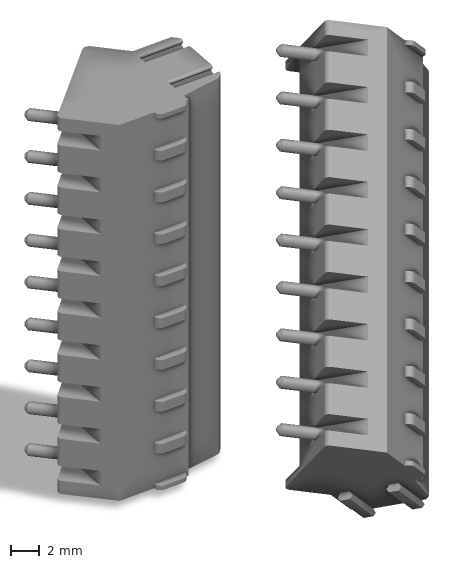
import cadquery as cq
import math


overall_height = 32.0
body_height = 31.42
pin_count = 9
pin_span = 28.0
pitch = pin_span / (pin_count - 1)
end_margin = (body_height - pin_span) / 2

neck_left_x = 2.25
neck_right_x = 8.22
neck_base_x = 8.7
right_wall_x = 9.3
shoulder_y = -3.65
back_chamfer = 0.48
right_wall_end_y = -9.35
nose_radius = 0.5
keel_radius = 0.35

end_plate = 0.5

rib_back_y = -3.95
rib_front_y = -6.5
rib_width = 0.8
rib_reach = 0.5
rib_radius = rib_reach

slot_y = -10.3
slot_width = 1.2
pin_diameter = 0.9
pin_chamfer = 0.3
pin_front_y = -12.83
pin_axis_offset = 15.23
pin_length = 6.4

rail_centers_x = (3.35, 7.1)
rail_length = 3.7
rail_height = overall_height - body_height
rail_root_half = 0.7 / 2
rail_wide_half = 1.12 / 2
rail_tip_half = 0.77 / 2
rail_wide_depth = 0.35
groove_length = 3.68
lip_radius = 0.2
groove_wide_depth = 0.45
groove_depth = 0.6


def make_housing():
    """Extruded cross-section with a rounded nose and keel."""
    nose_x = -nose_radius * (math.sqrt(2) - 1)
    nose_y = shoulder_y - (neck_left_x - nose_x)
    nose_sum = nose_x + nose_y
    keel_difference = right_wall_end_y - right_wall_x
    keel_x = (nose_sum - keel_difference) / 2
    keel_y = (nose_sum + keel_difference) / 2
    outline = [
        (neck_left_x + back_chamfer, 0),
        (neck_left_x, -back_chamfer),
        (neck_left_x, shoulder_y),
        (nose_x, nose_y),
        (keel_x, keel_y),
        (right_wall_x, right_wall_end_y),
        (right_wall_x, shoulder_y),
        (neck_base_x, shoulder_y),
        (neck_right_x, -back_chamfer),
        (neck_right_x - back_chamfer, 0),
    ]
    housing = cq.Workplane("XY").polyline(outline).close().extrude(body_height)
    nose_edge = cq.selectors.NearestToPointSelector((nose_x, nose_y, body_height / 2))
    keel_edge = cq.selectors.NearestToPointSelector((keel_x, keel_y, body_height / 2))
    housing = housing.edges(nose_edge).fillet(nose_radius)
    return housing.edges(keel_edge).fillet(keel_radius)


def make_side_recess():
    """Block that removes the nose between the end plates, flush with the rear block."""
    recess_height = body_height - 2 * end_plate
    recess = cq.Workplane("XY").box(
        neck_left_x, -pin_front_y, recess_height, centered=False
    )
    return recess.translate((0, pin_front_y, end_plate))


def make_rib(center_z):
    """Rounded rib on the right wall, kept within the height of the housing."""
    low_z = max(center_z - rib_width / 2, 0)
    high_z = min(center_z + rib_width / 2, body_height)
    rib = cq.Workplane("XY").box(
        right_wall_x + rib_reach - neck_base_x,
        rib_back_y - rib_front_y,
        high_z - low_z,
        centered=False,
    )
    rib = rib.edges("|Z and >X").fillet(rib_radius)
    return rib.translate((neck_base_x, rib_front_y, low_z))


def make_slot(center_z):
    """Block that cuts the keel away in front of slot_y."""
    slot_reach = slot_y - pin_front_y
    slot = cq.Workplane("XY").box(
        right_wall_x, slot_reach, slot_width, centered=(False, False, True)
    )
    return slot.translate((0, pin_front_y, center_z))


def make_pin(center_z):
    """Round pin leaving the housing at 45 degrees, with a chamfered tip."""
    tip_radius = pin_diameter / 2 - pin_chamfer
    tip_y = pin_front_y + tip_radius / math.sqrt(2)
    tip_x = tip_y + pin_axis_offset
    plane = cq.Plane(origin=(tip_x, tip_y, center_z), xDir=(1, -1, 0), normal=(1, 1, 0))
    pin = cq.Workplane(plane).circle(pin_diameter / 2).extrude(pin_length)
    front_end = cq.selectors.NearestToPointSelector((tip_x, tip_y, center_z))
    return pin.faces(front_end).chamfer(pin_chamfer)


def make_rail(center_x):
    """Rail below the lower end face, narrow at its root."""
    outline = [
        (center_x - rail_root_half, 0),
        (center_x - rail_wide_half, -rail_wide_depth),
        (center_x - rail_tip_half, -rail_height),
        (center_x + rail_tip_half, -rail_height),
        (center_x + rail_wide_half, -rail_wide_depth),
        (center_x + rail_root_half, 0),
    ]
    return cq.Workplane("XZ").polyline(outline).close().extrude(rail_length)


def make_groove(center_x):
    """Undercut groove with rounded lips, open at the back face."""
    lip_half = rail_root_half + lip_radius
    arc_inset = lip_radius * (1 - math.sqrt(0.5))
    arc_half = rail_root_half + arc_inset
    arc_z = body_height - arc_inset
    neck_z = body_height - lip_radius
    wide_z = body_height - groove_wide_depth
    floor_z = body_height - groove_depth
    return (
        cq.Workplane("XZ")
        .moveTo(center_x - lip_half, body_height)
        .threePointArc((center_x - arc_half, arc_z), (center_x - rail_root_half, neck_z))
        .lineTo(center_x - rail_wide_half, wide_z)
        .lineTo(center_x - rail_tip_half, floor_z)
        .lineTo(center_x + rail_tip_half, floor_z)
        .lineTo(center_x + rail_wide_half, wide_z)
        .lineTo(center_x + rail_root_half, neck_z)
        .threePointArc((center_x + arc_half, arc_z), (center_x + lip_half, body_height))
        .close()
        .extrude(groove_length)
    )


result = make_housing().cut(make_side_recess())

for center_x in rail_centers_x:
    result = result.cut(make_groove(center_x)).union(make_rail(center_x))

for index in range(pin_count + 1):
    result = result.union(make_rib(end_margin + (index - 0.5) * pitch))

for index in range(pin_count):
    pin_z = end_margin + index * pitch
    result = result.cut(make_slot(pin_z)).union(make_pin(pin_z))